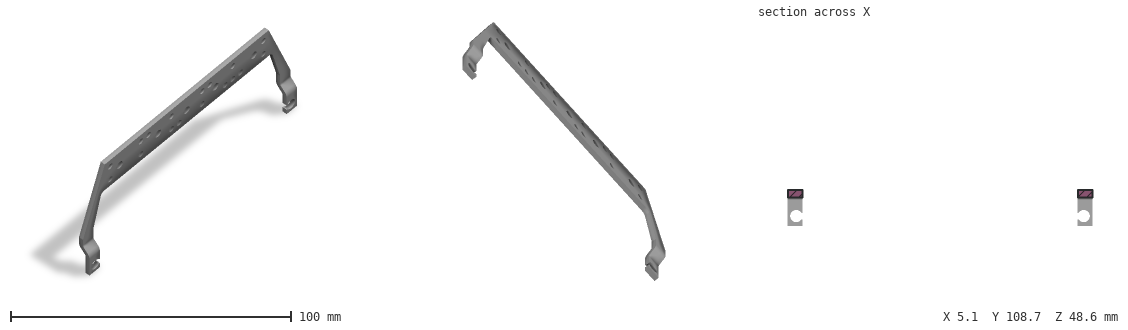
import cadquery as cq
import math

length = 108.7
height = 48.6
depth = 5.1
thickness = 2.0

top_length = 85.9
bar_height = 14.0

leg_width = 5.4
leg_outer_height = 17.1
leg_inner_height = 18.5
inner_top_length = 89.4
inner_corner_radius = 2.0

foot_height = 9.1
bend_angle = 45.0
bend_inner_radius = 1.0

hole_row_span = 80.2
hole_pitch = hole_row_span / 20
small_hole_diameter = 2.5
large_hole_diameter = 3.3
upper_row_steps = [-10, -6, -5, -2, 2, 3, 6, 10]
lower_row_steps = [-10, -6, -2, -1, 2, 5, 6, 7, 10]
middle_row_places = [-35.1, -15.0, 0, 15.0, 35.1]

clip_diameter = 4.3
clip_edge_distance = 3.2
clip_height = 3.5
clip_slot_width = 2.3


def mirrored_outline(half_outline):
    """Close an outline from its +Y half, listed along the edge."""
    return half_outline + [(-y, z) for y, z in reversed(half_outline)]


def bent_sheet():
    """Side profile of the sheet in XZ, swept over the whole length."""
    angle = math.radians(bend_angle)
    outer_radius = bend_inner_radius + thickness
    offset = depth - thickness
    bend_radii = bend_inner_radius + outer_radius
    slope_length = (offset - bend_radii * (1 - math.cos(angle))) / math.sin(angle)
    joggle_height = bend_radii * math.sin(angle) + slope_length * math.cos(angle)
    joggle_top = foot_height + joggle_height

    def on_bend(center, radius, turn):
        return (center[0] + radius * math.cos(turn), center[1] + radius * math.sin(turn))

    upper_center = (outer_radius, joggle_top)
    lower_center = (depth - outer_radius, foot_height)
    upper_mid, upper_end = math.pi + angle / 2, math.pi + angle
    lower_mid, lower_end = angle / 2, angle

    return (
        cq.Workplane("XZ")
        .moveTo(0, height)
        .lineTo(0, joggle_top)
        .threePointArc(on_bend(upper_center, outer_radius, upper_mid),
                       on_bend(upper_center, outer_radius, upper_end))
        .lineTo(*on_bend(lower_center, bend_inner_radius, lower_end))
        .threePointArc(on_bend(lower_center, bend_inner_radius, lower_mid),
                       (offset, foot_height))
        .lineTo(offset, 0)
        .lineTo(depth, 0)
        .lineTo(depth, foot_height)
        .threePointArc(on_bend(lower_center, outer_radius, lower_mid),
                       on_bend(lower_center, outer_radius, lower_end))
        .lineTo(*on_bend(upper_center, bend_inner_radius, upper_end))
        .threePointArc(on_bend(upper_center, bend_inner_radius, upper_mid),
                       (thickness, joggle_top))
        .lineTo(thickness, height)
        .close()
        .extrude(length / 2, both=True)
    )


def bracket_outline():
    """Front outline in YZ: a crossbar on two splayed legs."""
    outer = mirrored_outline([
        (length / 2, 0),
        (length / 2, leg_outer_height),
        (top_length / 2, height),
    ])
    inner_half_width = length / 2 - leg_width
    opening = mirrored_outline([
        (inner_half_width, 0),
        (inner_half_width, leg_inner_height),
        (inner_top_length / 2, height - bar_height),
    ])
    plate = cq.Workplane("YZ").polyline(outer).close().extrude(depth)
    cutout = cq.Workplane("YZ").polyline(opening).close().extrude(depth)
    cutout = cutout.faces(">Z").edges("|X").fillet(inner_corner_radius)
    return plate.cut(cutout)


def hole_row(places, drop, diameter):
    """Row of round cutters at a given drop below the top edge."""
    points = [(y, height - drop) for y in places]
    return cq.Workplane("YZ").pushPoints(points).circle(diameter / 2).extrude(depth)


def clip_cutter(side):
    """Round hole in a foot, open towards the middle of the bracket."""
    hole_y = side * (length / 2 - clip_edge_distance)
    slot_center_y = hole_y - side * leg_width / 2
    hole = cq.Workplane("YZ").center(hole_y, clip_height).circle(clip_diameter / 2).extrude(depth)
    slot = (
        cq.Workplane("YZ")
        .center(slot_center_y, clip_height)
        .rect(leg_width, clip_slot_width)
        .extrude(depth)
    )
    return hole.union(slot)


row_spacing = bar_height / 4
result = bent_sheet().intersect(bracket_outline())
result = result.cut(hole_row([n * hole_pitch for n in upper_row_steps], row_spacing, small_hole_diameter))
result = result.cut(hole_row(middle_row_places, 2 * row_spacing, large_hole_diameter))
result = result.cut(hole_row([n * hole_pitch for n in lower_row_steps], 3 * row_spacing, small_hole_diameter))
for side in (-1, 1):
    result = result.cut(clip_cutter(side))